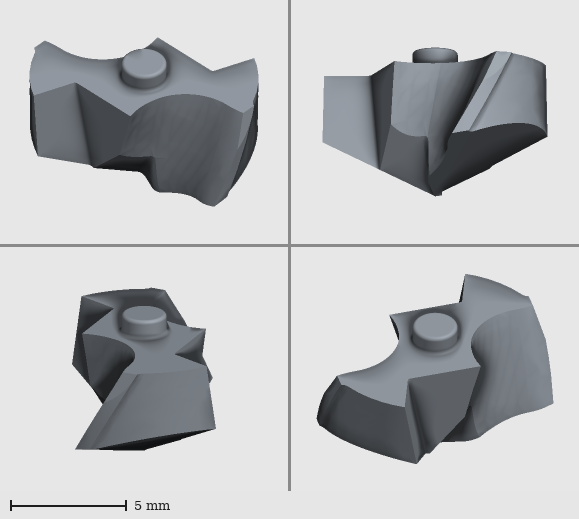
import cadquery as cq
import math


TIP_DEPTH = 5.55
POINT_ALLOWANCE = 0.5
BLANK_DEPTH = TIP_DEPTH + POINT_ALLOWANCE

TOOL_SIZE = 30.0
TOLERANCE = 1e-4

STUD_RADIUS = 0.985
STUD_HEIGHT = 0.843
STUD_ROUND = 0.16

MARGIN_RADIUS = 5.155
HELIX_ANGLE = 30.0
TWIST_PER_MM = math.degrees(math.tan(math.radians(HELIX_ANGLE)) / MARGIN_RADIUS)

MARGIN_START_ANGLE = 14.4
MARGIN_MID_ANGLE = 18.0
MARGIN_END_ANGLE = 21.7
STEP_MID = (5.03, 23.2)
CLEARANCE_START = (4.99, 25.2)
CLEARANCE_MID = (4.95, 47.0)
CLEARANCE_END = (4.907, 84.0)

LIP_MID = (4.5, 1.175)
LIP_END = (3.93, 1.135)
THROAT_MID = (2.46, 0.70)
THROAT_END = (1.59, -0.26)
HEEL_MID = (1.30, -1.40)
HEEL_END = (1.40, -2.33)

CORNER_FLAT_X = 4.77
CORNER_FLAT_ANGLE = 14.5

NOTCH_FLOOR_Y = 2.31
NOTCH_FLOOR_LEAN = 1.3
NOTCH_WALL_POINT = (-2.58, -4.19, 0.0)
NOTCH_WALL_NORMAL = (1.74, -0.64, 0.32)
NOTCH_ROUND = 0.15

LIP_SLOPE = 0.37
PRIMARY_RELIEF = 0.18
SECONDARY_RELIEF = 0.39

GASH_FLOOR_HEIGHT = -5.37
GASH_FLOOR_SLOPE_X = 1.06
GASH_FLOOR_SLOPE_Y = -0.885
GASH_WALL_ANGLE = 30.0
GASH_WALL_OFFSET = 0.01
GASH_BEND_X = 1.11
GASH_BEND_RADIUS = 1.3
GASH_START_X = -2.0
GASH_END_X = 4.0
GASH_ROUND = 0.28


def polar(radius, angle):
    """Point in the seat plane from a radius and an angle in degrees."""
    return (radius * math.cos(math.radians(angle)), radius * math.sin(math.radians(angle)))


def opposite(point):
    """The point after a half turn about Z."""
    return (-point[0], -point[1])


def half_space(point, direction):
    """Large block that starts at a plane through point and fills along direction."""
    plane = cq.Plane(origin=point, normal=direction)
    return cq.Workplane(plane).rect(TOOL_SIZE, TOOL_SIZE).extrude(TOOL_SIZE)


def cut_both_sides(body, tool):
    """Remove the tool and its half-turn copy."""
    return body.cut(tool).cut(tool.rotate((0, 0, 0), (0, 0, 1), 180))


def add_half_outline(sketch, place):
    """Append one lobe from its margin corner round to the opposite margin corner."""
    return (
        sketch
        .threePointArc(place(polar(MARGIN_RADIUS, MARGIN_MID_ANGLE)),
                       place(polar(MARGIN_RADIUS, MARGIN_END_ANGLE)))
        .threePointArc(place(polar(*STEP_MID)), place(polar(*CLEARANCE_START)))
        .threePointArc(place(polar(*CLEARANCE_MID)), place(polar(*CLEARANCE_END)))
        .lineTo(*place(opposite(HEEL_END)))
        .threePointArc(place(opposite(HEEL_MID)), place(opposite(THROAT_END)))
        .threePointArc(place(opposite(THROAT_MID)), place(opposite(LIP_END)))
        .threePointArc(place(opposite(LIP_MID)),
                       place(opposite(polar(MARGIN_RADIUS, MARGIN_START_ANGLE))))
    )


def make_lobes():
    """Helical blank with margins and flutes."""
    twist = TWIST_PER_MM * BLANK_DEPTH
    start = polar(MARGIN_RADIUS, MARGIN_START_ANGLE)
    sketch = cq.Workplane("XY").moveTo(*start)
    sketch = add_half_outline(sketch, lambda point: point)
    sketch = add_half_outline(sketch, opposite)
    blank = sketch.close().twistExtrude(BLANK_DEPTH, twist)
    return blank.rotate((0, 0, 0), (0, 0, 1), -twist).translate((0, 0, -BLANK_DEPTH))


def corner_flat_tool():
    """Everything outside the slanted flat on the +X lobe."""
    tilt = math.radians(CORNER_FLAT_ANGLE)
    return half_space((CORNER_FLAT_X, 0, 0), (math.cos(tilt), 0, math.sin(tilt)))


def notch_tool():
    """Block outside the leaning floor and beside the slanted wall, rounded where they meet."""
    lean = math.radians(NOTCH_FLOOR_LEAN)
    floor_point = (0, -NOTCH_FLOOR_Y, 0)
    floor_normal = cq.Vector(0, -math.cos(lean), -math.sin(lean))
    floor = half_space(floor_point, floor_normal.toTuple())
    wall = half_space(NOTCH_WALL_POINT, NOTCH_WALL_NORMAL)
    corner = floor_normal.cross(cq.Vector(*NOTCH_WALL_NORMAL))
    corner_edge = floor.intersect(wall).edges(cq.selectors.ParallelDirSelector(corner))
    return corner_edge.fillet(NOTCH_ROUND)


def facet_tool(relief):
    """Everything below one point facet on the -X side."""
    return half_space((0, 0, -TIP_DEPTH), (-LIP_SLOPE, -relief, -1))


def gash_tool():
    """Block in front of the bent upright wall and below the slanted floor, rounded between them."""
    angle = math.radians(GASH_WALL_ANGLE)

    def wall_y(x):
        return -GASH_WALL_OFFSET - x * math.tan(angle)

    bend_start = (GASH_BEND_X, wall_y(GASH_BEND_X))
    bend_end = (bend_start[0] + GASH_BEND_RADIUS * math.sin(angle),
                bend_start[1] - GASH_BEND_RADIUS * (1 - math.cos(angle)))
    front_y = -TOOL_SIZE / 2
    wall = (
        cq.Workplane("XY", origin=(0, 0, -TOOL_SIZE / 2))
        .moveTo(GASH_START_X, wall_y(GASH_START_X))
        .lineTo(*bend_start)
        .tangentArcPoint(bend_end, relative=False)
        .lineTo(GASH_END_X, bend_end[1])
        .lineTo(GASH_END_X, front_y)
        .lineTo(GASH_START_X, front_y)
        .close()
        .extrude(TOOL_SIZE)
    )
    floor = half_space((0, 0, GASH_FLOOR_HEIGHT), (GASH_FLOOR_SLOPE_X, GASH_FLOOR_SLOPE_Y, -1))
    tool = wall.intersect(floor)
    bend_height = (GASH_FLOOR_HEIGHT + GASH_FLOOR_SLOPE_X * bend_start[0]
                   + GASH_FLOOR_SLOPE_Y * bend_start[1])
    bend = cq.Vertex.makeVertex(*bend_start, bend_height)
    corner = tool.edges().filter(lambda edge: edge.distance(bend) < TOLERANCE).edges("not |Z")
    return corner.fillet(GASH_ROUND)


def make_stud():
    """Round stud with a flared foot and a rounded rim."""
    profile = (
        cq.Workplane("XZ")
        .lineTo(STUD_RADIUS + STUD_ROUND, 0)
        .radiusArc((STUD_RADIUS, STUD_ROUND), STUD_ROUND)
        .lineTo(STUD_RADIUS, STUD_HEIGHT - STUD_ROUND)
        .radiusArc((STUD_RADIUS - STUD_ROUND, STUD_HEIGHT), -STUD_ROUND)
        .lineTo(0, STUD_HEIGHT)
        .close()
    )
    return profile.revolve(360, (0, 0, 0), (0, 1, 0))


result = make_lobes()
cutting_tools = [
    corner_flat_tool(),
    notch_tool(),
    facet_tool(PRIMARY_RELIEF),
    facet_tool(SECONDARY_RELIEF),
    gash_tool(),
]
for cutting_tool in cutting_tools:
    result = cut_both_sides(result, cutting_tool)
result = result.union(make_stud())